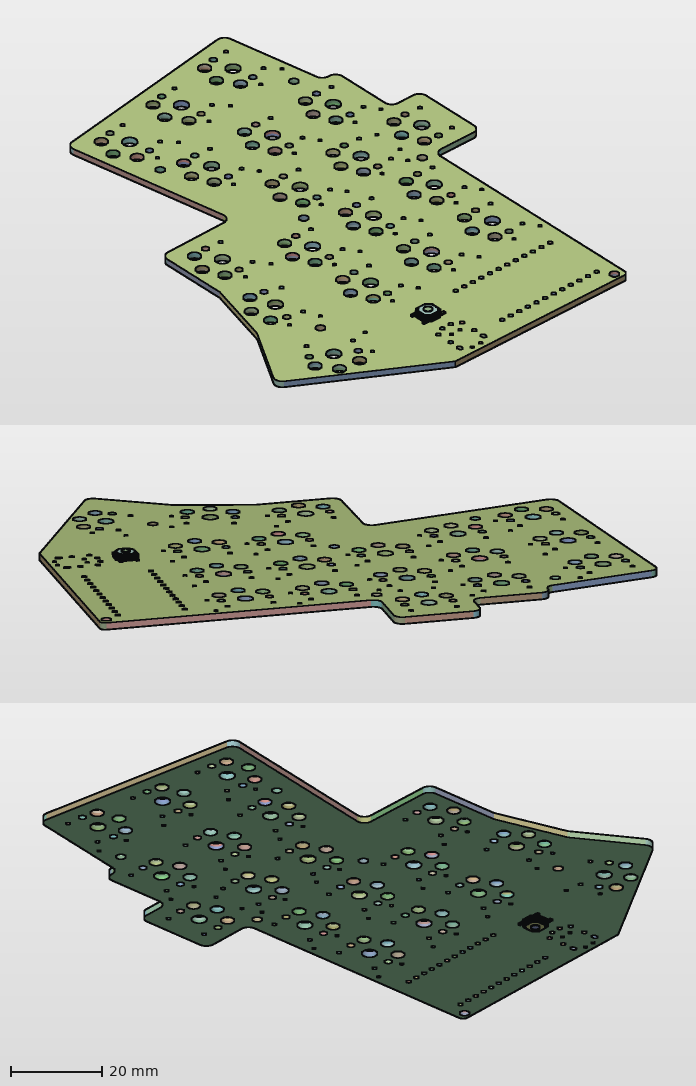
import cadquery as cq
import math

BOARD_THICKNESS = 1.6
BOARD_TOP = BOARD_THICKNESS / 2

RIGHT_EDGE = 64.03
REAR_EDGE = 35.9
FRONT_EDGE = -35.6
TAB_LEFT = -19.1
TAB_RIGHT = 0.55
TAB_REAR = 49.36
SHOULDER_LEFT = -37.05
SHOULDER_REAR = 40.75

CORNER_RADIUS = 2.0
SHARP_CORNER_RADIUS = 1.2

OUTLINE = [
    (-64.32, 31.85, CORNER_RADIUS),
    (SHOULDER_LEFT, 36.7, CORNER_RADIUS),
    (SHOULDER_LEFT, SHOULDER_REAR, CORNER_RADIUS),
    (TAB_LEFT, SHOULDER_REAR, CORNER_RADIUS),
    (TAB_LEFT, TAB_REAR, CORNER_RADIUS),
    (TAB_RIGHT, TAB_REAR, CORNER_RADIUS),
    (TAB_RIGHT, REAR_EDGE, CORNER_RADIUS),
    (RIGHT_EDGE, REAR_EDGE, SHARP_CORNER_RADIUS),
    (RIGHT_EDGE, -15.2, 0),
    (43.6, -50.1, CORNER_RADIUS),
    (26.8, -40.3, 0),
    (9.3, FRONT_EDGE, 0),
    (-9.8, FRONT_EDGE, CORNER_RADIUS),
    (-10.2, -14.5, CORNER_RADIUS),
    (-55.5, -22.5, CORNER_RADIUS),
]

KEY_PITCH_X = 19.05
KEY_PITCH_Y = 18.0
ROWS = (-1, 0, 1)

FIRST_COLUMN_X = -28.3
STRAIGHT_COLUMNS = [(13.95, 8.45), (22.95, 8.2), (9.45, 8.45), (9.45, 8.45)]
STRAIGHT_DIODE_Y = 2.65

PINKY_HOME = (-50.35, 6.9)
PINKY_STEP = (-3.0, 18.0)
PINKY_ANGLE = 10
PINKY_DIODE = (8.6, 2.65)

THUMB_KEYS = [
    (0.2, -26.6, 0),
    (21.1, -29.75, -15),
    (43.96, -33.1, 60),
]
THUMB_DIODE = (8.5, 2.95)

STEM_DIAMETER = 3.43
PEG_DIAMETER = 1.7
PEG_POINTS = [(-5.5, 0), (5.5, 0)]
CONTACT_DIAMETER = 3.0
CONTACT_POINTS = [(0, -5.95), (-5.0, -3.75), (5.0, -3.75)]
PIN_DIAMETER = 0.99
PIN_POINTS = [(-5.22, 4.2), (5.22, 4.2)]

DIODE_HOLE_DIAMETER = 0.8
DIODE_HALF_SPACING = 7.62 / 2
TAB_DIODE_DROP = 9.85

MOUNT_DIAMETER = 2.2
MOUNT_POINTS = [
    (62.2, 33.5),
    (-40.7, 31.5),
    (0.3, 32.5),
    (0.3, -2.6),
    (-34.8, -13.4),
    (34.5, -28.5),
]

HEADER_PIN_DIAMETER = 1.09
HEADER_PITCH = 2.54
HEADER_PINS = 12
HEADER_ROWS = 2
HEADER_ROW_SPACING = 15.24
HEADER_CENTER = (51.3, 17.2)

JACK_CENTER_Y = -7.5
JACK_PIN_DIAMETER = 1.09
JACK_OUTER_OFFSET = 3.5
JACK_INNER_OFFSET = 1.25
JACK_OUTER_X = [53.8, 57.8]
JACK_INNER_X = 52.6
JACK_SLOT_X = 60.8
JACK_SLOT_LENGTH = 1.5
JACK_PEG_X = [55.6, 62.4]
JACK_PEG_DIAMETER = 0.8

SWITCH_CENTER = (46.5, -7.5)
SWITCH_HEIGHT = 1.59
BUTTON_DIAMETER = 2.0
SWITCH_TIERS = [(5.2, 0.35), (5.0, 0.5), (5.2, 0.85), (4.6, 1.1), (4.0, 1.4)]
CORNER_CUT_RATIO = 0.25
LEG_LENGTH = 6.4
LEG_WIDTH = 0.6
LEG_OFFSET = 1.9
LEG_THICKNESS = 0.3


def toward(start, end, distance):
    """Point at a distance from start on the way to end."""
    share = distance / math.dist(start, end)
    return (start[0] + share * (end[0] - start[0]), start[1] + share * (end[1] - start[1]))


def rounded_corner(before, corner, after, radius):
    """Start, middle and end of the arc that rounds a corner between its two neighbours."""
    angle_before = math.atan2(before[1] - corner[1], before[0] - corner[0])
    angle_after = math.atan2(after[1] - corner[1], after[0] - corner[0])
    half_angle = abs(math.remainder(angle_before - angle_after, math.tau)) / 2
    setback = radius / math.tan(half_angle)
    start = toward(corner, before, setback)
    end = toward(corner, after, setback)
    chord_middle = ((start[0] + end[0]) / 2, (start[1] + end[1]) / 2)
    middle = toward(corner, chord_middle, radius / math.sin(half_angle) - radius)
    return start, middle, end


def rounded_polygon(corners):
    """Closed outline through corners given as x, y, radius; the first corner must be rounded."""
    points = [(x, y) for x, y, _ in corners]
    outline = cq.Workplane("XY")
    for i, (corner, (_, _, radius)) in enumerate(zip(points, corners)):
        if radius == 0:
            outline = outline.lineTo(*corner)
            continue
        after = points[(i + 1) % len(points)]
        start, middle, end = rounded_corner(points[i - 1], corner, after, radius)
        outline = outline.moveTo(*start) if i == 0 else outline.lineTo(*start)
        outline = outline.threePointArc(middle, end)
    return outline.close()


def placed(point, key):
    """Board position of a point given relative to a key (x, y, rotation)."""
    x, y, rotation = key
    cosine = math.cos(math.radians(rotation))
    sine = math.sin(math.radians(rotation))
    return (x + cosine * point[0] - sine * point[1], y + sine * point[0] + cosine * point[1])


def upright_diode(offset):
    """Both holes of a diode standing beside a key, relative to the key."""
    x, y = offset
    return [(x, y - DIODE_HALF_SPACING), (x, y + DIODE_HALF_SPACING)]


def lying_diode(drop):
    """Both holes of a diode lying in front of a key, relative to the key."""
    return [(-DIODE_HALF_SPACING, -drop), (DIODE_HALF_SPACING, -drop)]


def keys_with_diodes():
    """Every key as its position (x, y, rotation) and its two diode holes relative to it."""
    keys = []
    for row in ROWS:
        x = PINKY_HOME[0] + row * PINKY_STEP[0]
        y = PINKY_HOME[1] + row * PINKY_STEP[1]
        keys.append(((x, y, PINKY_ANGLE), upright_diode(PINKY_DIODE)))
    for column, (home_y, diode_x) in enumerate(STRAIGHT_COLUMNS):
        x = FIRST_COLUMN_X + column * KEY_PITCH_X
        for row in ROWS:
            y = home_y + row * KEY_PITCH_Y
            on_tab = y > SHOULDER_REAR
            diode = lying_diode(TAB_DIODE_DROP) if on_tab else upright_diode((diode_x, STRAIGHT_DIODE_Y))
            keys.append(((x, y, 0), diode))
    for key in THUMB_KEYS:
        keys.append((key, upright_diode(THUMB_DIODE)))
    return keys


def cut_through(board, sketch):
    """Cut the closed shapes of a mid-plane sketch through the full board."""
    return board.cut(sketch.extrude(BOARD_THICKNESS, both=True))


def drill(board, points, diameter):
    return cut_through(board, cq.Workplane("XY").pushPoints(points).circle(diameter / 2))


def drill_keys(board):
    keys = keys_with_diodes()
    hole_sets = [
        (STEM_DIAMETER, [(0, 0)]),
        (PEG_DIAMETER, PEG_POINTS),
        (CONTACT_DIAMETER, CONTACT_POINTS),
        (PIN_DIAMETER, PIN_POINTS),
    ]
    for diameter, points in hole_sets:
        board = drill(board, [placed(point, key) for key, _ in keys for point in points], diameter)
    diode_holes = [placed(point, key) for key, diode in keys for point in diode]
    return drill(board, diode_holes, DIODE_HOLE_DIAMETER)


def drill_header(board):
    pins = cq.Workplane("XY").center(*HEADER_CENTER)
    pins = pins.rarray(HEADER_ROW_SPACING, HEADER_PITCH, HEADER_ROWS, HEADER_PINS)
    return cut_through(board, pins.circle(HEADER_PIN_DIAMETER / 2))


def drill_jack(board):
    for side in (-1, 1):
        outer_y = JACK_CENTER_Y + side * JACK_OUTER_OFFSET
        inner_y = JACK_CENTER_Y + side * JACK_INNER_OFFSET
        pins = [(x, outer_y) for x in JACK_OUTER_X] + [(JACK_INNER_X, inner_y)]
        board = drill(board, pins, JACK_PIN_DIAMETER)
        board = drill(board, [(x, inner_y) for x in JACK_PEG_X], JACK_PEG_DIAMETER)
        slot = cq.Workplane("XY").center(JACK_SLOT_X, outer_y)
        board = cut_through(board, slot.slot2D(JACK_SLOT_LENGTH, JACK_PIN_DIAMETER))
    return board


def make_board():
    board = rounded_polygon(OUTLINE).extrude(BOARD_TOP, both=True)
    board = drill_keys(board)
    board = drill_header(board)
    board = drill_jack(board)
    return drill(board, MOUNT_POINTS, MOUNT_DIAMETER)


def cut_corner_block(width, bottom, top):
    """Square block with cut corners between two heights."""
    block = cq.Workplane("XY").workplane(offset=bottom).rect(width, width).extrude(top - bottom)
    return block.edges("|Z").chamfer(width * CORNER_CUT_RATIO)


def make_switch():
    """Reset switch standing on the upper face of the board."""
    legs = cq.Workplane("XY").pushPoints([(-LEG_OFFSET, 0), (LEG_OFFSET, 0)])
    switch = legs.rect(LEG_WIDTH, LEG_LENGTH).extrude(LEG_THICKNESS)
    bottom = 0
    for width, top in SWITCH_TIERS:
        switch = switch.union(cut_corner_block(width, bottom, top))
        bottom = top
    button = cq.Workplane("XY").workplane(offset=bottom).circle(BUTTON_DIAMETER / 2)
    switch = switch.union(button.extrude(SWITCH_HEIGHT - bottom))
    return switch.translate((*SWITCH_CENTER, BOARD_TOP))


board = make_board().solids()
top_switch = make_switch().solids()
bottom_switch = top_switch.mirror("XY").solids()

result = cq.Compound.makeCompound([board.val(), top_switch.val(), bottom_switch.val()])